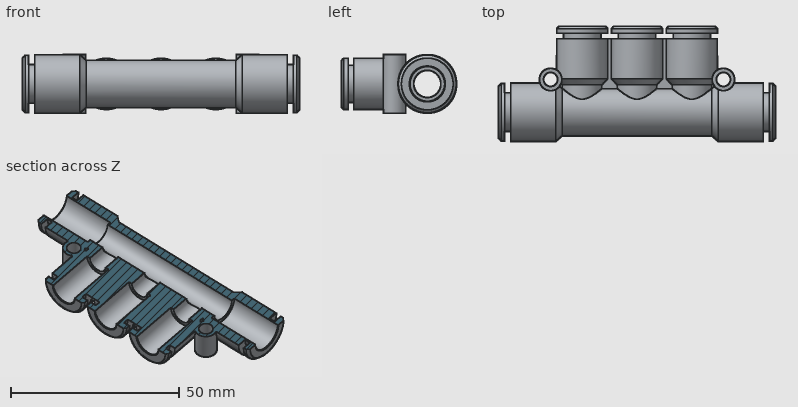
import cadquery as cq


main_length = 82.5
port_radius = 8.75
tube_radius = 7.1
port_shoulder_x = 37.6
port_inner_x = 24.2
main_cone_length = 1.9
main_bore_radius = 4.0

main_neck_radius = 5.8
main_collar_radius = 8.6
main_collar_thickness = 1.9
main_collar_chamfer = 0.9
main_socket_radius = 5.15
main_socket_lead_in = 0.2

branch_count = 3
branch_pitch = 16.3
branch_radius = 7.65
branch_root_radius = 5.95
branch_end_y = 25.58
branch_shoulder_y = 21.9
branch_inner_y = 9.9
branch_cone_length = 1.8
branch_bore_radius = 3.0

branch_neck_radius = 5.6
branch_collar_radius = 7.65
branch_collar_thickness = 2.1
branch_collar_chamfer = 0.7
branch_socket_radius = 4.1
branch_socket_lead_in = 0.2

web_thickness = 2.0
eyelet_x = 25.7
eyelet_y = 9.75
eyelet_radius = 3.35
eyelet_hole_radius = 2.05
eyelet_height = 2 * port_radius

main_end_x = main_length / 2
branch_positions = [
    (i - (branch_count - 1) / 2) * branch_pitch for i in range(branch_count)
]


def port_profile(root_radius, cone_length, inner, body_radius, shoulder,
                 neck_radius, collar_radius, collar_thickness, chamfer, end):
    """(distance along axis, radius) points of a port's outside, from its cone to its end."""
    collar_start = end - collar_thickness
    return [
        (inner - cone_length, root_radius),
        (inner, body_radius),
        (shoulder, body_radius),
        (shoulder, neck_radius),
        (collar_start, neck_radius),
        (collar_start, collar_radius),
        (end - chamfer, collar_radius),
        (end, collar_radius - chamfer),
        (end, 0),
    ]


def socket_profile(depth_stop, socket_radius, lead_in, end):
    """(distance along axis, radius) points of a tube socket with a chamfered mouth."""
    return [
        (depth_stop, 0),
        (depth_stop, socket_radius),
        (end - lead_in, socket_radius),
        (end, socket_radius + lead_in),
        (end, 0),
    ]


def revolve_about_x(profile):
    return cq.Workplane("XY").polyline(profile).close().revolve(360, (0, 0, 0), (1, 0, 0))


def revolve_about_y(profile):
    points = [(radius, along) for along, radius in profile]
    return cq.Workplane("XY").polyline(points).close().revolve(360, (0, 0, 0), (0, 1, 0))


def make_main_tube():
    right_half = port_profile(
        tube_radius, main_cone_length, port_inner_x, port_radius, port_shoulder_x,
        main_neck_radius, main_collar_radius, main_collar_thickness,
        main_collar_chamfer, main_end_x)
    left_half = [(-x, radius) for x, radius in reversed(right_half)]
    return revolve_about_x(left_half + right_half)


def make_branch(x):
    outside = port_profile(
        branch_root_radius, branch_cone_length, branch_inner_y, branch_radius,
        branch_shoulder_y, branch_neck_radius, branch_collar_radius,
        branch_collar_thickness, branch_collar_chamfer, branch_end_y)
    root = [(0, 0), (0, branch_root_radius)]
    return revolve_about_y(root + outside).translate((x, 0, 0))


def make_web():
    """Flat plate between the outer branches, reaching from the main axis to their shoulders."""
    length = branch_positions[-1] - branch_positions[0]
    plate = cq.Workplane("XY").box(length, branch_shoulder_y, web_thickness)
    return plate.translate((0, branch_shoulder_y / 2, 0))


def make_eyelet_cylinders(radius):
    return (
        cq.Workplane("XY")
        .workplane(offset=-eyelet_height / 2)
        .pushPoints([(-eyelet_x, eyelet_y), (eyelet_x, eyelet_y)])
        .circle(radius)
        .extrude(eyelet_height)
    )


def make_main_bore():
    bore = cq.Workplane("YZ").circle(main_bore_radius).extrude(main_end_x, both=True)
    socket = revolve_about_x(socket_profile(
        port_inner_x, main_socket_radius, main_socket_lead_in, main_end_x))
    return bore.union(socket).union(socket.mirror("YZ"))


def make_branch_bore(x):
    bore = revolve_about_y([
        (0, 0),
        (0, branch_bore_radius),
        (branch_end_y, branch_bore_radius),
        (branch_end_y, 0),
    ])
    socket = revolve_about_y(socket_profile(
        branch_inner_y, branch_socket_radius, branch_socket_lead_in, branch_end_y))
    return bore.union(socket).translate((x, 0, 0))


body = make_main_tube().union(make_web()).union(make_eyelet_cylinders(eyelet_radius))
for branch_x in branch_positions:
    body = body.union(make_branch(branch_x))

body = body.cut(make_main_bore()).cut(make_eyelet_cylinders(eyelet_hole_radius))
for branch_x in branch_positions:
    body = body.cut(make_branch_bore(branch_x))

result = body